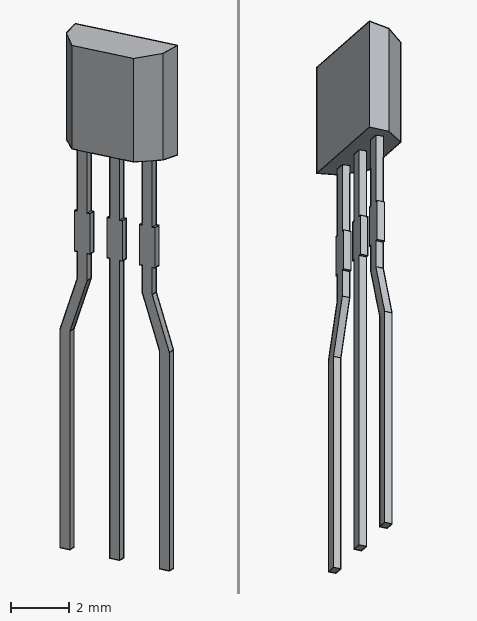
import cadquery as cq

total_height = 19.09
lead_span = 4.37

body_width = 4.09
body_height = 4.05
body_depth = 1.6
knee_depth = 0.8
knee_inset = 0.11
front_face_width = 2.46
end_draft = 0.11

lead_width = 0.4
lead_thickness = 0.29
lead_pitch = 1.3
spread_pitch = (lead_span - lead_width) / 2
dambar_width = 0.61
dambar_top_drop = 6.55
dambar_bottom_drop = 8.04
bend_start_drop = 9.03
bend_end_drop = 11.03
lead_embed = 0.2

body_top = total_height
body_bottom = body_top - body_height
dambar_top = total_height - dambar_top_drop
dambar_bottom = total_height - dambar_bottom_drop
bend_start = total_height - bend_start_drop
bend_end = total_height - bend_end_drop
lead_front = -knee_depth


def make_body():
    """Package: plan outline trimmed by a side profile with drafted ends."""
    half_back = body_width / 2
    half_knee = half_back - knee_inset
    half_front = front_face_width / 2
    plan = (
        cq.Workplane("XY", origin=(0, 0, body_bottom))
        .polyline([
            (-half_back, 0),
            (-half_knee, -knee_depth),
            (-half_front, -body_depth),
            (half_front, -body_depth),
            (half_knee, -knee_depth),
            (half_back, 0),
        ])
        .close()
        .extrude(body_height)
    )
    side_profile = (
        cq.Workplane("YZ")
        .polyline([
            (0, body_bottom),
            (0, body_top),
            (-body_depth, body_top - end_draft),
            (-body_depth, body_bottom + end_draft),
        ])
        .close()
        .extrude(half_back, both=True)
    )
    return plan.intersect(side_profile)


def make_lead(side, body):
    """Flat lead; side is -1, 0 or 1 and sets where it leaves and how it spreads."""
    root_x = side * lead_pitch
    tip_x = side * spread_pitch
    half_width = lead_width / 2
    center_line = [
        (root_x, body_bottom + lead_embed),
        (root_x, bend_start),
        (tip_x, bend_end),
        (tip_x, 0),
    ]
    left_edge = [(x - half_width, z) for x, z in center_line]
    right_edge = [(x + half_width, z) for x, z in center_line]
    front_plane = cq.Workplane("XZ", origin=(0, lead_front, 0))
    strip = front_plane.polyline(left_edge + right_edge[::-1]).close().extrude(-lead_thickness)
    dambar = (
        front_plane
        .center(root_x, (dambar_top + dambar_bottom) / 2)
        .rect(dambar_width, dambar_top - dambar_bottom)
        .extrude(-lead_thickness)
    )
    return strip.union(dambar).cut(body).clean().solids()


body = make_body()
leads = [make_lead(side, body) for side in (-1, 0, 1)]

result = cq.Compound.makeCompound([body.val(), *[lead.val() for lead in leads]])